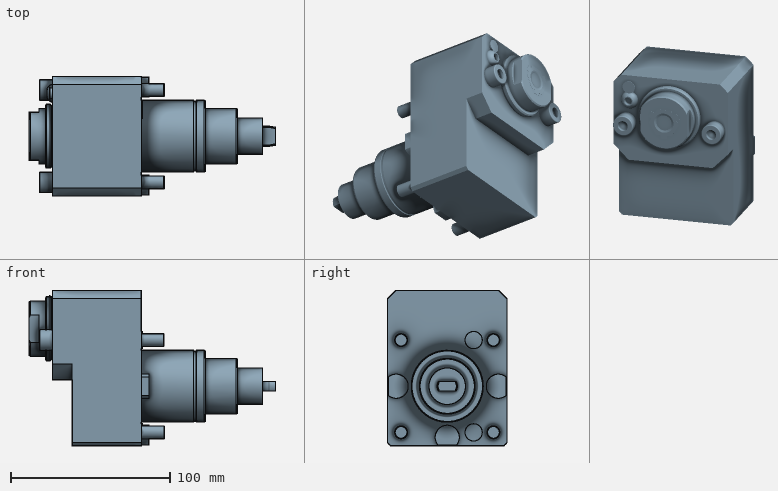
import cadquery as cq
import math


housing_width = 75.0
housing_top = 60.0
housing_bottom = -37.5
housing_front = -55.9
lower_front = -43.5
top_chamfer = 5.1
bottom_chamfer = 2.0
overhang_bottom = 4.0
overhang_chamfer = 9.9

nose_z = 36.0
nose_radius = 17.5
nose_face = -70.4
nose_chamfer = 0.8
nose_flat_half = 15.2
nose_flat_length = 6.2
collar_radius = 20.1
collar_front = -60.2
collar_back = -56.5
collar_chamfer = 0.8
collar_neck_radius = collar_radius - collar_chamfer

relief_height = 0.2
lobe_shoulder = 8.2
lobe_side = 8.7
lobe_tab_reach = 10.5
lobe_tab_width = 4.3
bore_rim_radius = 6.3
bore_radius = 5.0
bore_depth = 0.5

shank_radius = 22.6
seal_start = 32.7
seal_end = 34.2
seal_radius = 22.0
seal_gap_radius = 21.2
flange_start = 34.7
flange_end = 40.1
flange_chamfer_length = 1.0
flange_chamfer_height = 0.5
step_radius = 17.5
step_end = 60.2
step_chamfer_length = 1.0
step_chamfer_height = 0.5
pilot_radius = 11.5
pilot_end = 76.0

tang_radius = 6.3
tang_end = 84.2
tang_thickness = 6.2
tang_taper_length = 4.2
tang_tip_radius = 5.7

bolt_offset = 29.0
bolt_radius = 4.0
upper_bolt_end = 14.1
lower_bolt_end = 14.4
bolt_tip_chamfer = 0.3
head_radius = 6.5
head_height = 8.0
head_fillet = 0.6
socket_radius = 3.2
socket_depth = 3.1
socket_cone_depth = 1.9

pad_offset = 32.0
pad_radius = 7.6
pad_flat_offset = 37.0
pad_height = 4.6

seal_pad_y = 16.5
seal_pad_radius = 5.4
seal_pad_height = 0.6

nozzle_y = 27.0
nozzle_z = 44.0
nozzle_base_radius = 5.7
nozzle_tip_radius = 3.1
nozzle_height = 3.2
nozzle_bore_radius = 2.5
nozzle_bore_depth = 3.1
plug_z = 52.8
plug_radius = 4.0
plug_head_thickness = 0.3
plug_height = 1.7
plug_stem_radius = 3.4

embed = 1.5


def rod(start, end, radius, y=0.0, z=0.0):
    """Cylinder parallel to X between two X positions."""
    return cq.Workplane("YZ", origin=(start, y, z)).circle(radius).extrude(end - start)


def turned(profile, z=0.0):
    """Body turned about an X-parallel axis from (x, radius) points."""
    half_section = cq.Workplane("XY", origin=(0, 0, z)).polyline(profile).close()
    return half_section.revolve(360, (0, 0, 0), (1, 0, 0))


def chamfered_plate(front, back, bottom, low_chamfer):
    """Housing slab with chamfered top and bottom corners."""
    half = housing_width / 2
    outline = [
        (half - low_chamfer, bottom),
        (half, bottom + low_chamfer),
        (half, housing_top - top_chamfer),
        (half - top_chamfer, housing_top),
    ]
    mirrored = [(-y, z) for y, z in reversed(outline)]
    sketch = cq.Workplane("YZ", origin=(front, 0, 0)).polyline(outline + mirrored).close()
    return sketch.extrude(back - front)


def make_housing():
    body = chamfered_plate(lower_front, 0, housing_bottom, bottom_chamfer)
    overhang = chamfered_plate(housing_front, lower_front, overhang_bottom, overhang_chamfer)
    return body.union(overhang)


def make_collet_relief():
    """Overlap of two opposed triangles with three tabs, standing proud of the nose face."""
    face = nose_face - relief_height
    thickness = relief_height + bore_depth

    def triangle(inradius, turn):
        plane = cq.Workplane("YZ", origin=(face, 0, nose_z))
        points = []
        for corner in range(3):
            angle = math.radians(turn + 120 * corner)
            points.append((2 * inradius * math.cos(angle), 2 * inradius * math.sin(angle)))
        return plane.polyline(points).close().extrude(thickness)

    relief = triangle(lobe_shoulder, 90).intersect(triangle(lobe_side, -90))
    tab = cq.Workplane("XY").box(thickness, lobe_tab_width, lobe_tab_reach, centered=(False, True, False))
    for turn in (60, 180, 300):
        placed = tab.rotate((0, 0, 0), (1, 0, 0), turn).translate((face, 0, nose_z))
        relief = relief.union(placed)
    return relief


def make_nose():
    nose = turned([
        (nose_face, 0),
        (nose_face, nose_radius - nose_chamfer),
        (nose_face + nose_chamfer, nose_radius),
        (collar_front, nose_radius),
        (collar_front, collar_radius - collar_chamfer),
        (collar_front + collar_chamfer, collar_radius),
        (collar_back - collar_chamfer, collar_radius),
        (collar_back, collar_neck_radius),
        (housing_front + embed, collar_neck_radius),
        (housing_front + embed, 0),
    ], nose_z)
    for side in (-1, 1):
        waste = cq.Workplane("XY").box(2 * nose_flat_length, nose_radius, 2 * nose_radius)
        nose = nose.cut(waste.translate((nose_face, side * (nose_flat_half + nose_radius / 2), nose_z)))
    nose = nose.union(make_collet_relief())
    face = nose_face - relief_height
    bore = turned([
        (face, 0),
        (face, bore_rim_radius),
        (face + bore_depth, bore_radius),
        (face + bore_depth, 0),
    ], nose_z)
    return nose.cut(bore)


def make_shank():
    return turned([
        (-embed, 0),
        (-embed, shank_radius),
        (seal_start, shank_radius),
        (seal_start, seal_radius),
        (seal_end, seal_radius),
        (seal_end, seal_gap_radius),
        (flange_start, seal_gap_radius),
        (flange_start, shank_radius),
        (flange_end - flange_chamfer_length, shank_radius),
        (flange_end, shank_radius - flange_chamfer_height),
        (flange_end, step_radius),
        (step_end - step_chamfer_length, step_radius),
        (step_end, step_radius - step_chamfer_height),
        (step_end, pilot_radius),
        (pilot_end, pilot_radius),
        (pilot_end, 0),
    ])


def make_tang():
    blank = turned([
        (pilot_end - embed, 0),
        (pilot_end - embed, tang_radius),
        (tang_end - tang_taper_length, tang_radius),
        (tang_end, tang_tip_radius),
        (tang_end, 0),
    ])
    slab = cq.Workplane("XY").box(2 * tang_end, 2 * tang_radius, tang_thickness)
    return blank.intersect(slab)


def make_bolt_end(y, z, end):
    return rod(-embed, end, bolt_radius, y, z).faces(">X").chamfer(bolt_tip_chamfer)


def make_bolt_head(y, z):
    top = housing_front - head_height
    head = rod(top, housing_front + embed, head_radius, y, z).faces("<X").edges().fillet(head_fillet)
    socket = turned([
        (top, 0),
        (top, socket_radius),
        (top + socket_depth, socket_radius),
        (top + socket_depth + socket_cone_depth, 0),
    ])
    return head.cut(socket.translate((0, y, z)))


def make_pad(turn):
    """Flatted disc, built below the shank and turned about its axis."""
    disc = rod(-embed, pad_height, pad_radius, 0, -pad_offset)
    keep = cq.Workplane("XY").box(2 * pad_flat_offset, 2 * pad_flat_offset, 2 * pad_flat_offset)
    return disc.intersect(keep).rotate((0, 0, 0), (1, 0, 0), turn)


def make_nozzle():
    """Spherical dome with a blind bore."""
    tip = housing_front - nozzle_height
    dome_offset = (nozzle_base_radius**2 - nozzle_tip_radius**2 - nozzle_height**2) / (2 * nozzle_height)
    dome_radius = math.hypot(dome_offset, nozzle_base_radius)
    ball = cq.Workplane("XY").sphere(dome_radius)
    ball = ball.translate((housing_front + dome_offset, nozzle_y, nozzle_z))
    dome = ball.intersect(rod(tip, housing_front + embed, nozzle_base_radius, nozzle_y, nozzle_z))
    bore = rod(tip, tip + nozzle_bore_depth, nozzle_bore_radius, nozzle_y, nozzle_z)
    return dome.cut(bore)


def make_plug():
    """Thin round head on a narrower stem."""
    front = housing_front - plug_height
    head = rod(front, front + plug_head_thickness, plug_radius, nozzle_y, plug_z)
    stem = rod(front, housing_front + embed, plug_stem_radius, nozzle_y, plug_z)
    return head.union(stem)


result = make_housing().union(make_nose()).union(make_shank()).union(make_tang())

for y in (-bolt_offset, bolt_offset):
    result = result.union(make_bolt_end(y, bolt_offset, upper_bolt_end))
    result = result.union(make_bolt_end(y, -bolt_offset, lower_bolt_end))
    result = result.union(make_bolt_head(y, bolt_offset))

for turn in (-90, 0, 90):
    result = result.union(make_pad(turn))

for z in (-bolt_offset, bolt_offset):
    result = result.union(rod(-embed, seal_pad_height, seal_pad_radius, seal_pad_y, z))

result = result.union(make_nozzle()).union(make_plug())